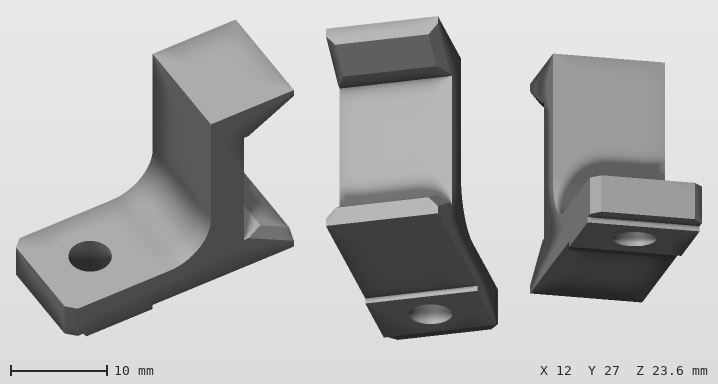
import cadquery as cq
import math

width = 12.0
length = 27.0
height = 23.0
plate = 4.0
jaw_reach = 6.0
corner_radius = 5.0

tip_drop = 2.0
tip_angle = 30.0
tip_chamfer = 1.0

foot_chamfer = 1.0
hole_diameter = 4.5
hole_y = 6.0
pad_start = 2.0
pad_end = 10.0
pad_depth = 0.6

wall_back = length - jaw_reach
wall_front = wall_back - plate
upper_jaw = height - plate
tip_run = tip_drop / math.tan(math.radians(tip_angle))


def make_body():
    """C-shaped clip with a forward foot, centred across X."""
    return (
        cq.Workplane("YZ")
        .moveTo(0, 0)
        .lineTo(length, 0)
        .lineTo(length, plate - tip_drop)
        .lineTo(length - tip_run, plate)
        .lineTo(wall_back, plate)
        .lineTo(wall_back, upper_jaw)
        .lineTo(length - tip_run, upper_jaw)
        .lineTo(length, upper_jaw + tip_drop)
        .lineTo(length, height)
        .lineTo(wall_front, height)
        .lineTo(wall_front, plate + corner_radius)
        .radiusArc((wall_front - corner_radius, plate), corner_radius)
        .lineTo(0, plate)
        .close()
        .extrude(width / 2, both=True)
    )


def bevel_jaw_tips(body):
    """Chamfer the side edges of both sloped lead-ins."""
    for rise in (tip_drop, -tip_drop):
        slope = cq.selectors.ParallelDirSelector(cq.Vector(0, tip_run, rise))
        body = body.edges(slope).chamfer(tip_chamfer)
    return body


def chamfer_foot(body):
    """Clip the two vertical corners at the foot tip."""
    return body.faces("<Y").edges("|Z").chamfer(foot_chamfer)


def add_pad(body):
    """Full-width locating pad under the foot."""
    pad = cq.Workplane("XY").box(
        width, pad_end - pad_start, pad_depth, centered=(True, False, False)
    ).translate((0, pad_start, -pad_depth))
    return body.union(pad)


def drill_foot(body):
    """Screw hole through the foot and pad."""
    drill = (
        cq.Workplane("XY", origin=(0, hole_y, -pad_depth))
        .circle(hole_diameter / 2)
        .extrude(pad_depth + plate)
    )
    return body.cut(drill)


result = drill_foot(add_pad(chamfer_foot(bevel_jaw_tips(make_body()))))